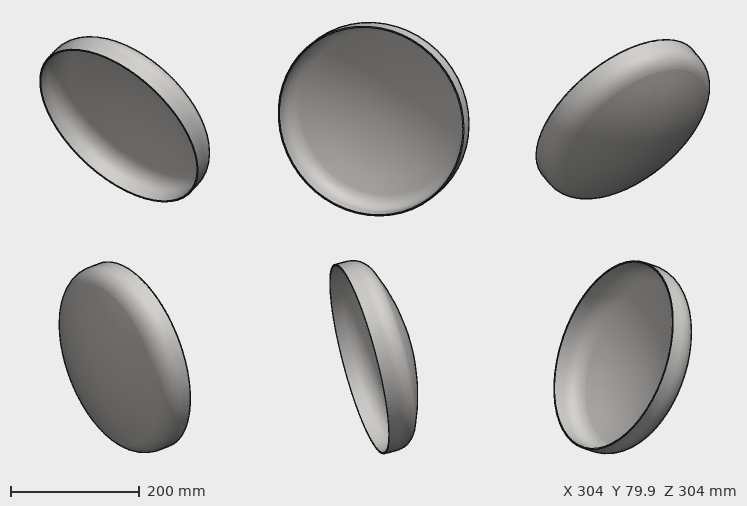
import cadquery as cq
import math

outer_diameter = 304.0
wall = 2.0
flange_length = 20.0

crown_inner_radius = outer_diameter
knuckle_inner_radius = 0.1 * outer_diameter

outer_radius = outer_diameter / 2
knuckle_centre_radius = outer_radius - wall - knuckle_inner_radius
centre_distance = crown_inner_radius - knuckle_inner_radius
crown_centre_y = flange_length - math.sqrt(centre_distance**2 - knuckle_centre_radius**2)

tangent_angle = math.asin(knuckle_centre_radius / centre_distance)


def knuckle_point(radius, angle):
    """Point on a knuckle arc, with the angle measured from the Y axis."""
    return (
        knuckle_centre_radius + radius * math.sin(angle),
        flange_length + radius * math.cos(angle),
    )


def crown_point(radius, angle):
    """Point on a crown arc, with the angle measured from the Y axis."""
    return (radius * math.sin(angle), crown_centre_y + radius * math.cos(angle))


def solid_dome(offset):
    """Solid bounded by the skin lying the given offset outside the inner skin."""
    knuckle_radius = knuckle_inner_radius + offset
    crown_radius = crown_inner_radius + offset
    skirt_radius = knuckle_centre_radius + knuckle_radius
    knuckle_middle_angle = (tangent_angle + math.pi / 2) / 2
    return (
        cq.Workplane("XY")
        .lineTo(skirt_radius, 0)
        .lineTo(skirt_radius, flange_length)
        .threePointArc(
            knuckle_point(knuckle_radius, knuckle_middle_angle),
            knuckle_point(knuckle_radius, tangent_angle),
        )
        .threePointArc(crown_point(crown_radius, tangent_angle / 2), crown_point(crown_radius, 0))
        .close()
        .revolve(360, (0, 0, 0), (0, 1, 0))
    )


result = solid_dome(wall).cut(solid_dome(0))